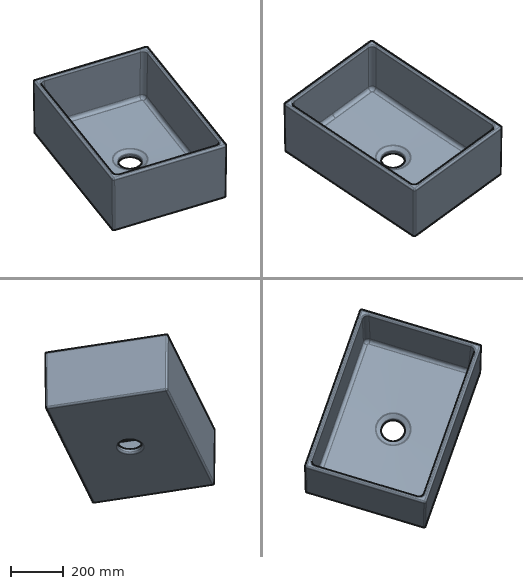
import cadquery as cq
import math

TOP_LENGTH = 686.0
TOP_WIDTH = 482.6
HEIGHT = 254.0
OUTER_DRAFT = 0.5
OUTER_FILLET = 7.5

WALL_AT_TOP = 18.5
BASIN_DRAFT = 2.0
CORNER_RADIUS = 20.0
RIM_FILLET = 6.0
FLOOR_FILLET = 15.5

FLOOR_SLOPE = 1.25
DRAIN_FLOOR_HEIGHT = 30.0

SEAT_TOP_RADIUS = 66.0
SEAT_DEPTH = 10.5
SEAT_FILLET = 6.0
HOLE_RADIUS = 45.0
HOLE_FILLET = 4.0

SEAT_BOTTOM_HEIGHT = DRAIN_FLOOR_HEIGHT - SEAT_DEPTH


def make_body():
    """Drafted block with every outside edge rounded."""
    block = (
        cq.Workplane("XY", origin=(0, 0, HEIGHT))
        .rect(TOP_LENGTH, TOP_WIDTH)
        .extrude(-HEIGHT, taper=OUTER_DRAFT)
    )
    return block.edges().fillet(OUTER_FILLET)


def make_floor_cone():
    """Solid below the basin floor: a shallow funnel with its low point on the drain axis."""
    reach = math.hypot(TOP_LENGTH, TOP_WIDTH) / 2
    slope = math.tan(math.radians(FLOOR_SLOPE))
    axis_height = DRAIN_FLOOR_HEIGHT - SEAT_TOP_RADIUS * slope
    edge_height = axis_height + reach * slope
    profile = (
        cq.Workplane("XZ")
        .moveTo(0, 0)
        .lineTo(reach, 0)
        .lineTo(reach, edge_height)
        .lineTo(0, axis_height)
        .close()
    )
    return profile.revolve(360, (0, 0, 0), (0, 1, 0))


def make_basin():
    """Drafted basin volume with rounded corners and a rounded conical floor."""
    block = (
        cq.Workplane("XY", origin=(0, 0, HEIGHT))
        .rect(TOP_LENGTH - 2 * WALL_AT_TOP, TOP_WIDTH - 2 * WALL_AT_TOP)
        .extrude(-HEIGHT, taper=BASIN_DRAFT)
    )
    upright_edges = block.edges("not(|X or |Y)")
    basin = upright_edges.fillet(CORNER_RADIUS).cut(make_floor_cone())
    return basin.faces("%CONE").faces("<Z").edges().fillet(FLOOR_FILLET)


def make_drain():
    """Conical seat and through hole, up to the basin floor."""
    profile = (
        cq.Workplane("XZ")
        .lineTo(HOLE_RADIUS, 0)
        .lineTo(HOLE_RADIUS, SEAT_BOTTOM_HEIGHT)
        .lineTo(SEAT_TOP_RADIUS, DRAIN_FLOOR_HEIGHT)
        .lineTo(0, DRAIN_FLOOR_HEIGHT)
        .close()
    )
    return profile.revolve(360, (0, 0, 0), (0, 1, 0))


def round_rim(sink):
    """Round the inner edge of the rim, the opening of the basin."""
    opening = sink.faces(">Z").wires(cq.selectors.LengthNthSelector(0))
    return sink.newObject(opening.edges().vals()).fillet(RIM_FILLET)


def round_drain_edge(sink, radius, height, fillet):
    """Round one circular drain edge, given its radius and height."""
    nearby = fillet / 2
    zone = cq.selectors.BoxSelector(
        (-radius - nearby, -radius - nearby, height - nearby),
        (radius + nearby, radius + nearby, height + nearby),
        boundingbox=True,
    )
    return sink.edges("%CIRCLE").edges(zone).fillet(fillet)


sink = make_body().cut(make_basin())
sink = round_rim(sink)
sink = sink.cut(make_drain())
sink = round_drain_edge(sink, SEAT_TOP_RADIUS, DRAIN_FLOOR_HEIGHT, SEAT_FILLET)
sink = round_drain_edge(sink, HOLE_RADIUS, SEAT_BOTTOM_HEIGHT, HOLE_FILLET)
result = round_drain_edge(sink, HOLE_RADIUS, 0, OUTER_FILLET)